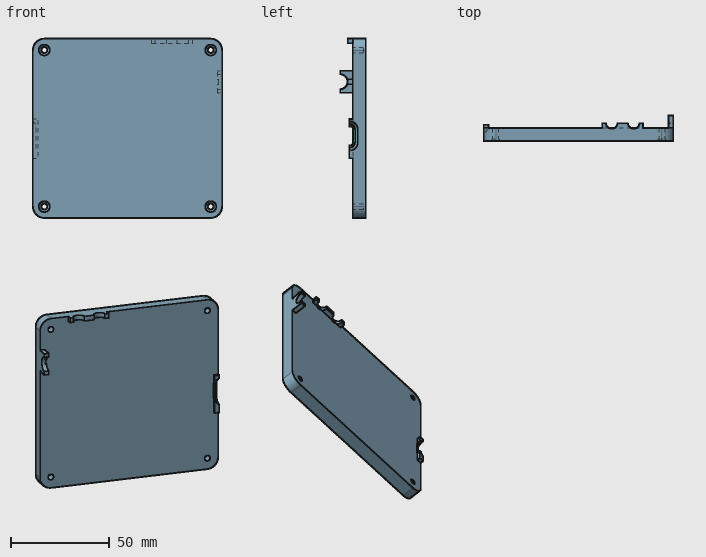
import cadquery as cq

width = 96
height = 91.0
plate_thickness = 6.7
total_depth = 13.1
corner_radius = 6.0
wall = 2.5
right_face = width / 2
left_face = -width / 2
top_face = height / 2

hole_diameter = 2.9
hole_inset = 5.9
countersink_diameter = 5.6
countersink_angle = 90

top_tab_x = 22.4
top_tab_width = 20.7
top_tab_rise = 2.5
top_notch_pitch = 11.1
top_notch_radius = 2.9

right_tab_z = 23.6
right_tab_height = 11.2
right_notch_radius = 3.7
groove_width = 2.4
groove_depth = 0.5

left_tab_top = 4.8
left_tab_height = 20.0
left_tab_rise = 1.7
connector_z = -3.8
recess_half_height = 7.4
recess_floor = plate_thickness - 2.7
recess_radius = 4.2
recess_taper = 1.4
opening_half_height = 4.7
opening_floor = plate_thickness - 0.4
opening_radius = 1.4


def block(x_min, x_max, y_min, y_max, z_min, z_max):
    size = (x_max - x_min, y_max - y_min, z_max - z_min)
    return cq.Workplane("XY").box(*size, centered=False).translate((x_min, y_min, z_min))


def make_plate():
    plate = cq.Workplane("XZ").rect(width, height).extrude(-plate_thickness)
    plate = plate.edges("|Y").fillet(corner_radius)
    return (
        plate.faces("<Y").workplane()
        .rect(width - 2 * hole_inset, height - 2 * hole_inset, forConstruction=True)
        .vertices()
        .cskHole(hole_diameter, countersink_diameter, countersink_angle)
    )


def add_top_tab(body):
    tab_top = plate_thickness + top_tab_rise
    x_min = top_tab_x - top_tab_width / 2
    body = body.union(
        block(x_min, x_min + top_tab_width, plate_thickness, tab_top, top_face - wall, top_face)
    )
    for side in (-1, 1):
        notch_x = top_tab_x + side * top_notch_pitch / 2
        notch = (
            cq.Workplane("XY", origin=(notch_x, tab_top, top_face - wall))
            .circle(top_notch_radius).extrude(wall)
        )
        body = body.cut(notch)
    return body


def add_right_tab(body):
    inner_face = right_face - wall
    z_min = right_tab_z - right_tab_height / 2
    tab = block(inner_face, right_face, plate_thickness, total_depth, z_min, z_min + right_tab_height)
    notch = (
        cq.Workplane("YZ", origin=(inner_face, total_depth, right_tab_z))
        .circle(right_notch_radius).extrude(wall)
    )
    groove = block(
        inner_face, inner_face + groove_depth, plate_thickness, total_depth,
        right_tab_z - groove_width / 2, right_tab_z + groove_width / 2,
    )
    return body.union(tab.cut(notch).cut(groove))


def rounded_u(x, half_height, floor, radius):
    """U-shaped wire that opens at the left tab's edge and has two rounded floor corners."""
    rim = plate_thickness + left_tab_rise
    arc_offset = radius * (1 - 0.5 ** 0.5)
    return (
        cq.Workplane("YZ", origin=(x, 0, connector_z))
        .moveTo(rim, half_height)
        .lineTo(floor + radius, half_height)
        .threePointArc((floor + arc_offset, half_height - arc_offset), (floor, half_height - radius))
        .lineTo(floor, radius - half_height)
        .threePointArc((floor + arc_offset, arc_offset - half_height), (floor + radius, -half_height))
        .lineTo(rim, -half_height)
        .close()
    )


def add_left_tab(body):
    body = body.union(block(
        left_face, left_face + wall, plate_thickness, plate_thickness + left_tab_rise,
        left_tab_top - left_tab_height, left_tab_top,
    ))
    mouth = rounded_u(left_face, recess_half_height, recess_floor, recess_radius)
    ledge = rounded_u(
        left_face + recess_taper,
        recess_half_height - recess_taper,
        recess_floor + recess_taper,
        recess_radius - recess_taper,
    )
    recess = cq.Solid.makeLoft([mouth.val(), ledge.val()], True)
    opening = rounded_u(left_face, opening_half_height, opening_floor, opening_radius).extrude(wall)
    return body.cut(cq.Workplane(obj=recess)).cut(opening)


result = add_left_tab(add_right_tab(add_top_tab(make_plate())))